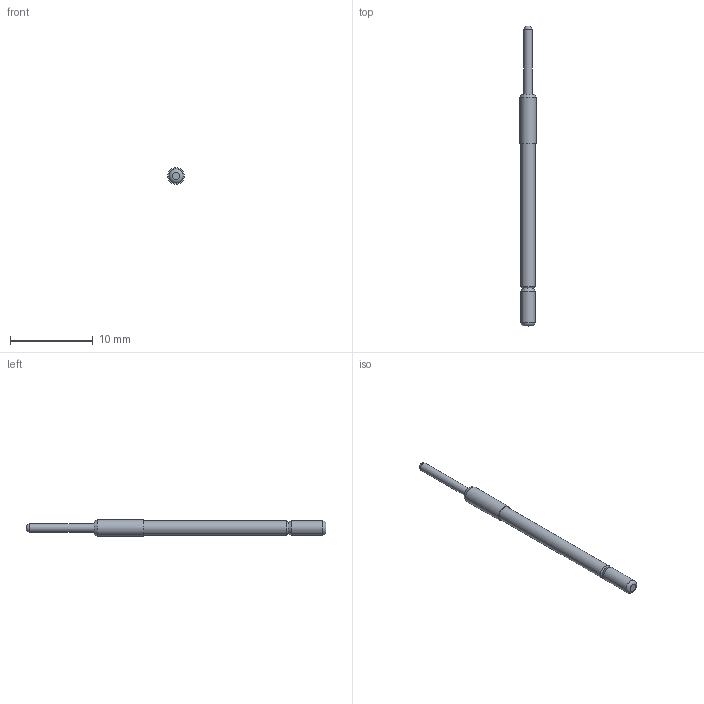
import cadquery as cq

total_length = 36.3
plunger_length = 8.25
collar_length = 6.0
collar_nose_length = 0.4
groove_start = 4.2
groove_rear_slope_length = 0.36

plunger_diameter = 1.0
collar_diameter = 2.0
collar_nose_diameter = 1.65
barrel_diameter = 1.7
groove_diameter = 1.36

rear_round_radius = 0.38
tip_round_radius = 0.45

rear_y = 0.0
tip_y = rear_y + total_length
collar_front_y = tip_y - plunger_length
collar_nose_y = collar_front_y - collar_nose_length
collar_rear_y = collar_front_y - collar_length
groove_rear_y = rear_y + groove_start
groove_bottom_y = groove_rear_y + groove_rear_slope_length

plunger_radius = plunger_diameter / 2
collar_radius = collar_diameter / 2
collar_nose_radius = collar_nose_diameter / 2
barrel_radius = barrel_diameter / 2
groove_radius = groove_diameter / 2

groove_depth = barrel_radius - groove_radius
groove_front_y = groove_bottom_y + groove_depth


def make_probe():
    """Turn the half outline (radius along X, station along Y) around the Y axis."""
    outline = (
        cq.Workplane("XY")
        .moveTo(0, rear_y)
        .lineTo(barrel_radius - rear_round_radius, rear_y)
        .radiusArc((barrel_radius, rear_y + rear_round_radius), -rear_round_radius)
        .lineTo(barrel_radius, groove_rear_y)
        .lineTo(groove_radius, groove_bottom_y)
        .radiusArc((barrel_radius, groove_front_y), groove_depth)
        .lineTo(barrel_radius, collar_rear_y)
        .lineTo(collar_radius, collar_rear_y)
        .lineTo(collar_radius, collar_nose_y)
        .lineTo(collar_nose_radius, collar_front_y)
        .lineTo(plunger_radius, collar_front_y)
        .lineTo(plunger_radius, tip_y - tip_round_radius)
        .radiusArc((plunger_radius - tip_round_radius, tip_y), -tip_round_radius)
        .lineTo(0, tip_y)
        .close()
    )
    return outline.revolve(360, (0, 0, 0), (0, 1, 0))


result = make_probe()